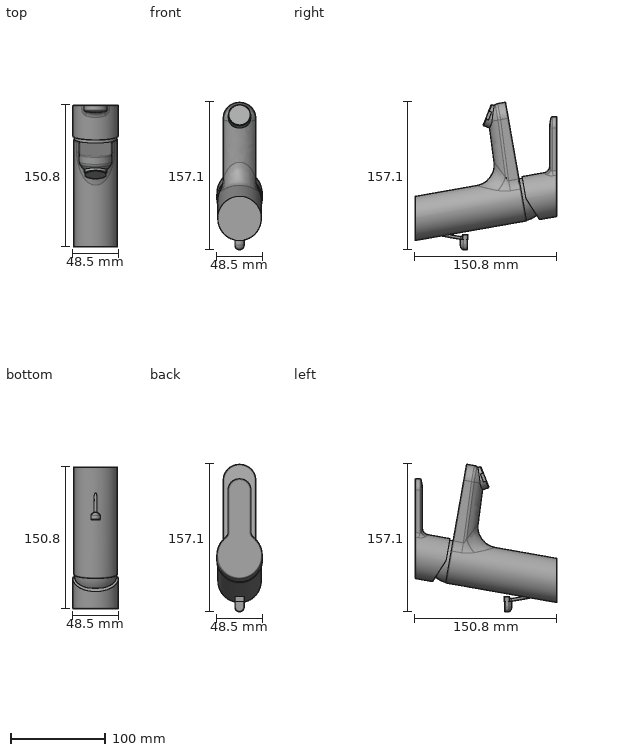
import cadquery as cq
import math

TILT = 10.0
OVERALL_HEIGHT = 157.1
OVERALL_DEPTH = 150.8
AXIS_HEIGHT = 33.5
FAR = 314.2
OVERRUN = 9.5

BODY_RADIUS = 23.2
BODY_LENGTH = 116.2

SPOUT_HALF_WIDTH = 17.5
SPOUT_HEAD_DEPTH = 21.5
SPOUT_CROWN_RADIUS = 18.9
SPOUT_CORNER_RADIUS = 6.3
SPOUT_TAPER = 2.5
SPOUT_BLEND = 22.0
SPOUT_REAR_ROUND = 1.0
SPOUT_HEIGHT = SPOUT_REAR_ROUND + (
    OVERALL_HEIGHT - SPOUT_REAR_ROUND - AXIS_HEIGHT
    - (BODY_LENGTH - SPOUT_REAR_ROUND) * math.sin(math.radians(TILT))
) / math.cos(math.radians(TILT))

AERATOR_RADIUS = 12.1
AERATOR_LENGTH = 9.5
AERATOR_PITCH = 21.5
AERATOR_FACE_Y = 76.5
AERATOR_FACE_Z = 143.6
AERATOR_CHAMFER = 0.8
FLAT_SPACING = 22.5
FLAT_DEPTH = 3.5

NECK_RADIUS = 22.8
NECK_MID_RADIUS = 21.7
NECK_END_RADIUS = 19.3
NECK_LENGTH = 11.2

HANDLE_WIDTH = 48.5
HANDLE_RADIUS = HANDLE_WIDTH / 2
HANDLE_GAP = 3.5
UNDERCUT_LENGTH = 10.4
UNDERCUT_START = 0.5
HANDLE_REAR_ROUND = 1.0
LEVER_HALF_WIDTH = 12.3
LEVER_THICKNESS = 8.0
LEVER_TOP = 141.7
LEVER_CROWN_RADIUS = 39.3
LEVER_CORNER_RADIUS = 1.5
LEVER_BLEND = 6.3

KNOB_HALF_WIDTH = 5.0
KNOB_REAR_Y = 55.8
KNOB_DEPTH = 7.9
KNOB_CROWN_RADIUS = 5.5
KNOB_CORNER_RADIUS = 1.4
KNOB_EDGE_ROUND = 1.0
KNOB_CAP_BOTTOM = 10.8
KNOB_CAP_TOP = 16.2
KNOB_CAP_REAR_Y = 56.1
KNOB_CAP_DEPTH = 5.7
COLLAR_RADIUS = 2.0
COLLAR_FRONT_Y = 48.9
ROD_RADIUS = 1.5
ROD_HEIGHT = 12.5
ROD_LENGTH = 39.3


def tilted(shape):
    """Move a shape from the level body frame to its tilted place."""
    return shape.rotate((0, 0, 0), (1, 0, 0), TILT).translate((0, 0, AXIS_HEIGHT))


def block_ahead(rear_y):
    """Large block filling everything in front of (toward -Y from) a plane."""
    return cq.Workplane("XY").box(FAR, FAR, 2 * FAR).translate((0, rear_y - FAR / 2, 0))


def tongue(half_width, front, rear, crown_radius, corner_radius, centre_z, run):
    """Bar with a crowned front and a round domed end centred at height centre_z.

    The bar runs from the domed end along run, an offset (0, dy, dz).
    """
    crown_y = front + crown_radius
    corner_x = half_width - corner_radius
    corner_y = crown_y - math.sqrt((crown_radius - corner_radius) ** 2 - corner_x ** 2)

    join_angle = math.atan2(corner_x, crown_y - corner_y)
    mid_angle = (join_angle + math.pi / 2) / 2
    join = (crown_radius * math.sin(join_angle), crown_y - crown_radius * math.cos(join_angle))
    corner_mid = (
        corner_x + corner_radius * math.sin(mid_angle),
        corner_y - corner_radius * math.cos(mid_angle),
    )
    crown_mid = (
        crown_radius * math.sin(join_angle / 2),
        crown_y - crown_radius * math.cos(join_angle / 2),
    )
    outline = (
        cq.Workplane("XY", origin=(0, 0, centre_z))
        .moveTo(-half_width, rear)
        .lineTo(half_width, rear)
        .lineTo(half_width, corner_y)
        .threePointArc(corner_mid, join)
        .threePointArc((0, front), (-join[0], join[1]))
        .threePointArc((-corner_mid[0], corner_mid[1]), (-half_width, corner_y))
        .close()
    )
    bar = cq.Solid.extrudeLinear(outline.wires().val(), [], cq.Vector(*run))
    dome = (
        cq.Workplane("XY", origin=(0, 0, centre_z))
        .moveTo(0, rear)
        .lineTo(half_width, rear)
        .lineTo(half_width, corner_y)
        .threePointArc(corner_mid, join)
        .threePointArc(crown_mid, (0, front))
        .close()
        .revolve(360, (0, 0, 0), (0, 1, 0))
    )
    return dome.union(cq.Workplane(bar))


def barrel(radius, start_y, end_y):
    """Round bar along Y."""
    return cq.Workplane("XZ", origin=(0, start_y, 0)).circle(radius).extrude(start_y - end_y)


def make_body_and_spout():
    body = barrel(BODY_RADIUS, -OVERRUN, BODY_LENGTH)
    head_z = SPOUT_HEIGHT - SPOUT_HALF_WIDTH
    lean = -head_z * math.tan(math.radians(SPOUT_TAPER))
    spout = tongue(
        SPOUT_HALF_WIDTH, BODY_LENGTH - SPOUT_HEAD_DEPTH, BODY_LENGTH + OVERRUN,
        SPOUT_CROWN_RADIUS, SPOUT_CORNER_RADIUS, head_z, (0, lean, -head_z),
    ).intersect(block_ahead(BODY_LENGTH))
    joined = body.union(spout)
    root = cq.selectors.BoxSelector(
        (-BODY_RADIUS, BODY_LENGTH - SPOUT_BLEND - SPOUT_HEAD_DEPTH, 0.5 * BODY_RADIUS),
        (BODY_RADIUS, BODY_LENGTH - SPOUT_REAR_ROUND, 1.01 * BODY_RADIUS),
    )
    return joined.edges(root).fillet(SPOUT_BLEND)


def round_spout_rear(body):
    """Ease the rear edge of the spout above the body."""
    edges = [e for e in body.faces(">Y").edges().vals() if e.Center().z > 0.5 * BODY_RADIUS]
    return body.newObject(edges).fillet(SPOUT_REAR_ROUND)


def make_neck():
    end_y = BODY_LENGTH + NECK_LENGTH
    return (
        cq.Workplane("XY")
        .moveTo(0, BODY_LENGTH)
        .lineTo(NECK_RADIUS, BODY_LENGTH)
        .threePointArc((NECK_MID_RADIUS, (BODY_LENGTH + end_y) / 2), (NECK_END_RADIUS, end_y))
        .lineTo(0, end_y)
        .close()
        .revolve(360, (0, 0, 0), (0, 1, 0))
    )


def make_handle():
    rim_y = BODY_LENGTH + HANDLE_GAP
    drum = tilted(barrel(HANDLE_RADIUS, rim_y, OVERALL_DEPTH + HANDLE_RADIUS))
    drum = drum.intersect(block_ahead(OVERALL_DEPTH))
    head_z = LEVER_TOP - LEVER_HALF_WIDTH
    axis_z = AXIS_HEIGHT + OVERALL_DEPTH * math.tan(math.radians(TILT))
    lever = tongue(
        LEVER_HALF_WIDTH, OVERALL_DEPTH - LEVER_THICKNESS, OVERALL_DEPTH,
        LEVER_CROWN_RADIUS, LEVER_CORNER_RADIUS, head_z, (0, 0, axis_z - head_z),
    )
    joined = drum.union(lever)
    root = cq.selectors.BoxSelector(
        (-HANDLE_RADIUS, OVERALL_DEPTH - 2 * LEVER_THICKNESS, axis_z),
        (HANDLE_RADIUS, OVERALL_DEPTH - HANDLE_REAR_ROUND, axis_z + 1.1 * HANDLE_RADIUS),
    )
    handle = joined.edges(root).fillet(LEVER_BLEND)
    handle = handle.faces(">Y").edges().fillet(HANDLE_REAR_ROUND)

    undercut = (
        cq.Workplane("YZ")
        .moveTo(rim_y, UNDERCUT_START)
        .lineTo(rim_y + UNDERCUT_LENGTH, -HANDLE_RADIUS)
        .lineTo(rim_y, -HANDLE_RADIUS)
        .close()
        .extrude(HANDLE_RADIUS, both=True)
    )
    return handle.cut(tilted(undercut))


def make_aerator():
    outlet = (
        cq.Workplane("XZ")
        .circle(AERATOR_RADIUS)
        .extrude(-AERATOR_LENGTH)
        .faces("<Y").edges().chamfer(AERATOR_CHAMFER)
    )
    for side in (-1, 1):
        relief = cq.Workplane("XY").box(AERATOR_RADIUS, 2 * FLAT_DEPTH, 2 * AERATOR_RADIUS)
        outlet = outlet.cut(relief.translate((side * (FLAT_SPACING + AERATOR_RADIUS) / 2, 0, 0)))
    outlet = outlet.rotate((0, 0, 0), (1, 0, 0), -AERATOR_PITCH)
    return outlet.translate((0, AERATOR_FACE_Y, AERATOR_FACE_Z))


def make_knob():
    grip = tongue(
        KNOB_HALF_WIDTH, KNOB_REAR_Y - KNOB_DEPTH, KNOB_REAR_Y, KNOB_CROWN_RADIUS,
        KNOB_CORNER_RADIUS, KNOB_HALF_WIDTH, (0, 0, KNOB_CAP_BOTTOM - KNOB_HALF_WIDTH),
    )
    rear_edges = grip.faces(">Y").edges(cq.selectors.BoxSelector(
        (-FAR, 0, -FAR), (FAR, OVERALL_DEPTH, KNOB_CAP_BOTTOM - KNOB_EDGE_ROUND)
    ))
    grip = rear_edges.fillet(KNOB_EDGE_ROUND)
    cap = cq.Workplane("XY").box(
        2 * KNOB_HALF_WIDTH, KNOB_CAP_DEPTH, KNOB_CAP_TOP - KNOB_CAP_BOTTOM, centered=(True, True, False)
    ).translate((0, KNOB_CAP_REAR_Y - KNOB_CAP_DEPTH / 2, KNOB_CAP_BOTTOM))
    cap = cap.edges("|Z").fillet(KNOB_EDGE_ROUND)
    collar = barrel(COLLAR_RADIUS, COLLAR_FRONT_Y, KNOB_REAR_Y - KNOB_EDGE_ROUND)
    collar = collar.translate((0, 0, ROD_HEIGHT))
    rod = barrel(ROD_RADIUS, -ROD_LENGTH, KNOB_CAP_DEPTH / 2).rotate((0, 0, 0), (1, 0, 0), -TILT)
    rod = rod.translate((0, COLLAR_FRONT_Y, ROD_HEIGHT))
    return grip.union(cap).union(collar).union(rod)


body = round_spout_rear(make_body_and_spout())
result = (
    tilted(body.union(make_neck()))
    .cut(block_ahead(0))
    .union(make_handle())
    .union(make_aerator())
    .union(make_knob())
)